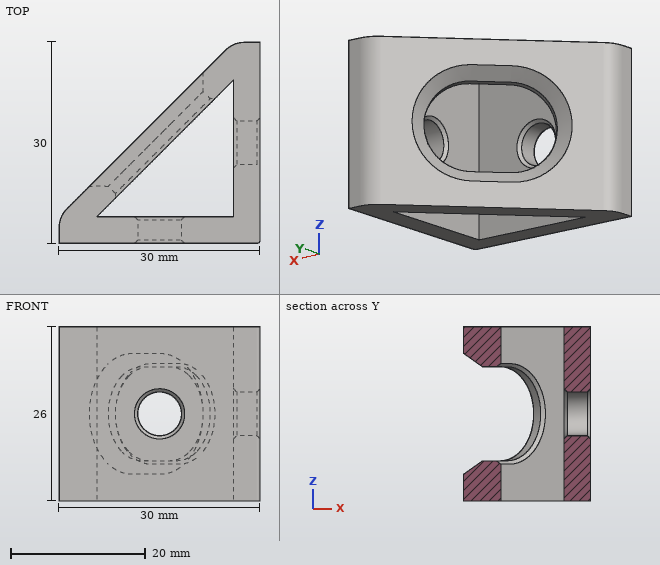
import cadquery as cq
import math

leg_length = 30.0
height = 26.0
wall = 4.0
mid_height = height / 2

tip_radius = 4.0
heel_radius = 0.5

hole_diameter = 6.5
hole_chamfer = 0.5
leg_middle = leg_length / 2

slot_length = 20.0
slot_width = 14.0
slot_outer_bevel = 2.0
slot_inner_bevel = 0.5
bevel_angle = 45

slope_run = leg_length - wall
slope_middle = cq.Vector(slope_run / 2, wall + slope_run / 2, mid_height)
slope_along = cq.Vector(1, 1, 0)
slope_outward = cq.Vector(-1, 1, 0).normalized()


def make_body():
    """Solid triangular prism with blunt rounded tips, standing along Z."""
    body = (
        cq.Workplane("XY")
        .moveTo(0, 0)
        .lineTo(leg_length, 0)
        .lineTo(leg_length, leg_length)
        .lineTo(slope_run, leg_length)
        .lineTo(0, wall)
        .close()
        .extrude(height)
    )
    rounded_corners = [
        (0, wall, tip_radius),
        (slope_run, leg_length, tip_radius),
        (leg_length, 0, heel_radius),
    ]
    for x, y, radius in rounded_corners:
        corner = cq.selectors.NearestToPointSelector((x, y, mid_height))
        body = body.edges(corner).fillet(radius)
    return body


def make_core():
    """Triangular opening that leaves the same wall thickness on all three sides."""
    inner_x = leg_length - wall
    slope_wall_along_axis = wall * math.sqrt(2)
    return (
        cq.Workplane("XY")
        .moveTo(slope_wall_along_axis, wall)
        .lineTo(inner_x, wall)
        .lineTo(inner_x, leg_length - slope_wall_along_axis)
        .close()
        .extrude(height)
    )


def make_leg_hole(outer_centre, inward):
    """Through hole for one leg, chamfered at both faces of the wall."""
    radius = hole_diameter / 2
    mouth_radius = radius + hole_chamfer
    section_plane = cq.Plane(origin=outer_centre, xDir=inward, normal=(0, 0, 1))
    return (
        cq.Workplane(section_plane)
        .moveTo(0, 0)
        .lineTo(0, mouth_radius)
        .lineTo(hole_chamfer, radius)
        .lineTo(wall - hole_chamfer, radius)
        .lineTo(wall, mouth_radius)
        .lineTo(wall, 0)
        .close()
        .revolve(360, (0, 0), (1, 0))
    )


def make_slot_bevel(mouth_centre, into_wall, bevel):
    """Flare at one mouth of the slot, narrowing to the slot size as it enters the wall."""
    plane = cq.Plane(origin=mouth_centre, xDir=slope_along, normal=into_wall)
    return (
        cq.Workplane(plane)
        .slot2D(slot_length + 2 * bevel, slot_width + 2 * bevel)
        .extrude(bevel, taper=bevel_angle)
    )


def make_access_slot():
    """Round-ended slot through the sloping wall, flared at both faces."""
    slope_inward = -slope_outward
    inner_middle = slope_middle + slope_inward * wall
    plane = cq.Plane(origin=slope_middle, xDir=slope_along, normal=slope_inward)
    straight = cq.Workplane(plane).slot2D(slot_length, slot_width).extrude(wall)
    outer_bevel = make_slot_bevel(slope_middle, slope_inward, slot_outer_bevel)
    inner_bevel = make_slot_bevel(inner_middle, slope_outward, slot_inner_bevel)
    return straight.union(outer_bevel).union(inner_bevel)


front_hole = make_leg_hole((leg_middle, 0, mid_height), (0, 1, 0))
side_hole = make_leg_hole((leg_length, leg_middle, mid_height), (-1, 0, 0))

result = (
    make_body()
    .cut(make_core())
    .cut(front_hole)
    .cut(side_hole)
    .cut(make_access_slot())
)